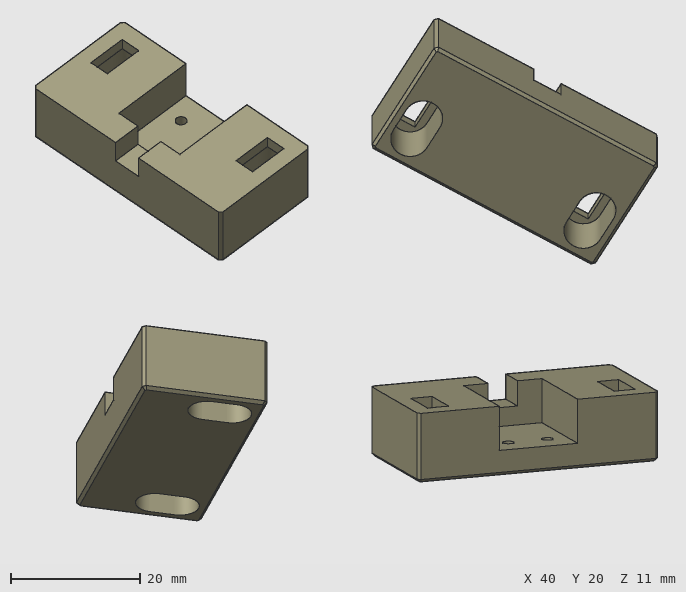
import cadquery as cq
import math

LENGTH = 40.0
WIDTH = 20.0
HEIGHT = 11.0
EDGE_CHAMFER = 0.5

POCKET_WIDTH = 13.0
POCKET_LENGTH = 15.0
POCKET_DEPTH = 7.0

CHANNEL_WIDTH = 4.9
CHANNEL_DEPTH = 4.0

PILOT_DIAMETER = 1.8
PILOT_SPACING = 6.5
PILOT_FROM_BACK = 4.5
PILOT_DEPTH = 2.5
DRILL_POINT_ANGLE = 118.0

WINDOW_WIDTH = 3.5
WINDOW_LENGTH = 7.0
WINDOW_FROM_SIDE = 2.75
WINDOW_FROM_BACK = 3.0
WINDOW_DEPTH = 2.0
SLOT_WIDTH = 6.0
SLOT_LENGTH = 10.0

POCKET_FLOOR_Z = HEIGHT - POCKET_DEPTH
BACK_Y = WIDTH / 2
WINDOW_X = LENGTH / 2 - WINDOW_FROM_SIDE - WINDOW_WIDTH / 2
WINDOW_Y = BACK_Y - WINDOW_FROM_BACK - WINDOW_LENGTH / 2


def chamfered_block():
    """Block with its upright and underside edges chamfered, top edges left sharp."""
    block = cq.Workplane("XY").box(LENGTH, WIDTH, HEIGHT, centered=(True, True, False))
    return block.edges("|Z").chamfer(EDGE_CHAMFER).faces("<Z").edges().chamfer(EDGE_CHAMFER)


def top_cut(width, length, depth, x, y):
    """Rectangular cutter centred on (x, y), reaching down from the top face."""
    cutter = cq.Workplane("XY").box(width, length, depth, centered=(True, True, False))
    return cutter.translate((x, y, HEIGHT - depth))


def pilot_hole(x):
    """Blind drilled hole with a conical bottom, revolved about its own axis."""
    radius = PILOT_DIAMETER / 2
    point_depth = radius / math.tan(math.radians(DRILL_POINT_ANGLE / 2))
    half_profile = [(0, 0), (radius, 0), (radius, -PILOT_DEPTH), (0, -PILOT_DEPTH - point_depth)]
    drill = cq.Workplane("XZ").polyline(half_profile).close().revolve(360, (0, 0), (0, 1))
    return drill.translate((x, BACK_Y - PILOT_FROM_BACK, POCKET_FLOOR_Z))


def window(x):
    """Rectangular opening in the top face above a larger round-ended slot."""
    opening = top_cut(WINDOW_WIDTH, WINDOW_LENGTH, WINDOW_DEPTH, x, WINDOW_Y)
    slot = cq.Workplane("XY").center(x, WINDOW_Y).slot2D(SLOT_LENGTH, SLOT_WIDTH, 90)
    return opening.union(slot.extrude(HEIGHT - WINDOW_DEPTH))


result = chamfered_block()
result = result.cut(top_cut(POCKET_WIDTH, POCKET_LENGTH, POCKET_DEPTH, 0, BACK_Y - POCKET_LENGTH / 2))
result = result.cut(top_cut(CHANNEL_WIDTH, WIDTH, CHANNEL_DEPTH, 0, 0))
for side in (-1, 1):
    result = result.cut(pilot_hole(side * PILOT_SPACING / 2))
    result = result.cut(window(side * WINDOW_X))